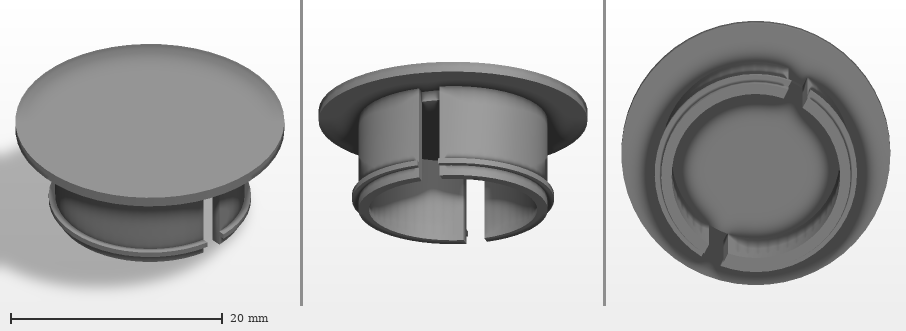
import cadquery as cq

cap_diameter = 25.4
cap_thickness = 1.0
total_height = 10.0
skirt_diameter = 17.88
wall_thickness = 1.0
plug_thickness = 1.0
bead_diameter = 19.1
bead_height = 0.5
bead_offset = 1.0
slot_width = 2.0

skirt_height = total_height - cap_thickness
bore_diameter = skirt_diameter - 2 * wall_thickness


def disc(diameter, bottom, height):
    """Solid disc on the Z axis, starting at the given level."""
    return cq.Workplane("XY").workplane(offset=bottom).circle(diameter / 2).extrude(height)


def split_skirt():
    """Beaded tube split into two snap-in halves by a slot along X."""
    tube = disc(skirt_diameter, 0, skirt_height)
    bead = disc(bead_diameter, bead_offset, bead_height)
    bore = disc(bore_diameter, 0, skirt_height)
    slot = cq.Workplane("XY").box(
        cap_diameter, slot_width, skirt_height, centered=(True, True, False)
    )
    return tube.union(bead).cut(bore).cut(slot)


cap = disc(cap_diameter, skirt_height, cap_thickness)
plug = disc(bore_diameter, skirt_height - plug_thickness, plug_thickness)

result = cap.union(plug).union(split_skirt())